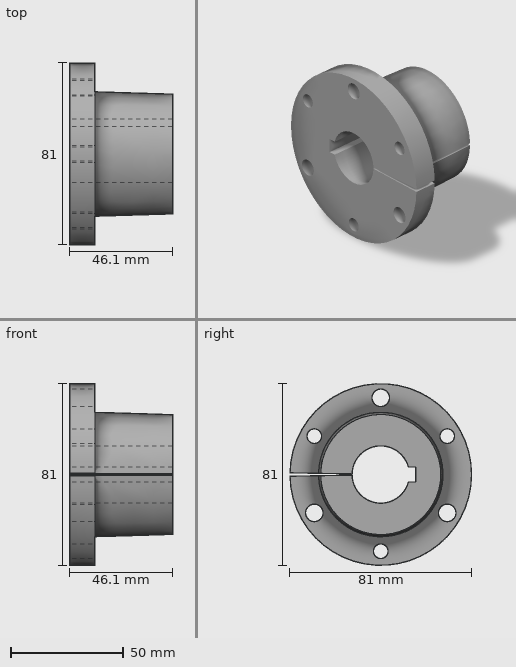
import cadquery as cq
import math

flange_diameter = 81.0
flange_thickness = 11.25
total_length = 46.1
hub_root_diameter = 55.5
hub_end_diameter = 53.4

bore_diameter = 25.4
keyway_width = 6.6
keyway_depth_from_axis = 15.55

bolt_circle_radius = 34.2
large_hole_diameter = 7.7
small_hole_diameter = 6.4
holes_per_set = 3
large_set_start_angle = 90.0
small_set_start_angle = large_set_start_angle + 180.0 / holes_per_set

slit_angle = 2.0


def make_body():
    """Revolve the flange and tapered hub about the X axis."""
    profile = (
        cq.Workplane("XY")
        .lineTo(0, flange_diameter / 2)
        .lineTo(flange_thickness, flange_diameter / 2)
        .lineTo(flange_thickness, hub_root_diameter / 2)
        .lineTo(total_length, hub_end_diameter / 2)
        .lineTo(total_length, 0)
        .close()
    )
    return profile.revolve(360, (0, 0, 0), (1, 0, 0))


def make_bore():
    """Round bore with a rectangular keyway on its +Y side."""
    bore = cq.Workplane("YZ").circle(bore_diameter / 2).extrude(total_length)
    keyway = (
        cq.Workplane("YZ")
        .center(keyway_depth_from_axis / 2, 0)
        .rect(keyway_depth_from_axis, keyway_width)
        .extrude(total_length)
    )
    return bore.union(keyway)


def make_holes(diameter, start_angle):
    """Evenly spaced holes on the bolt circle, through the flange."""
    centers = []
    for index in range(holes_per_set):
        angle = math.radians(start_angle + index * 360.0 / holes_per_set)
        centers.append((bolt_circle_radius * math.cos(angle), bolt_circle_radius * math.sin(angle)))
    return cq.Workplane("YZ").pushPoints(centers).circle(diameter / 2).extrude(flange_thickness)


def make_slit():
    """Wedge-shaped slit from the axis out through the -Y rim, full length."""
    outer_y = -flange_diameter
    outer_half_width = flange_diameter * math.tan(math.radians(slit_angle / 2))
    return (
        cq.Workplane("YZ")
        .lineTo(outer_y, outer_half_width)
        .lineTo(outer_y, -outer_half_width)
        .close()
        .extrude(total_length)
    )


result = (
    make_body()
    .cut(make_bore())
    .cut(make_holes(large_hole_diameter, large_set_start_angle))
    .cut(make_holes(small_hole_diameter, small_set_start_angle))
    .cut(make_slit())
)